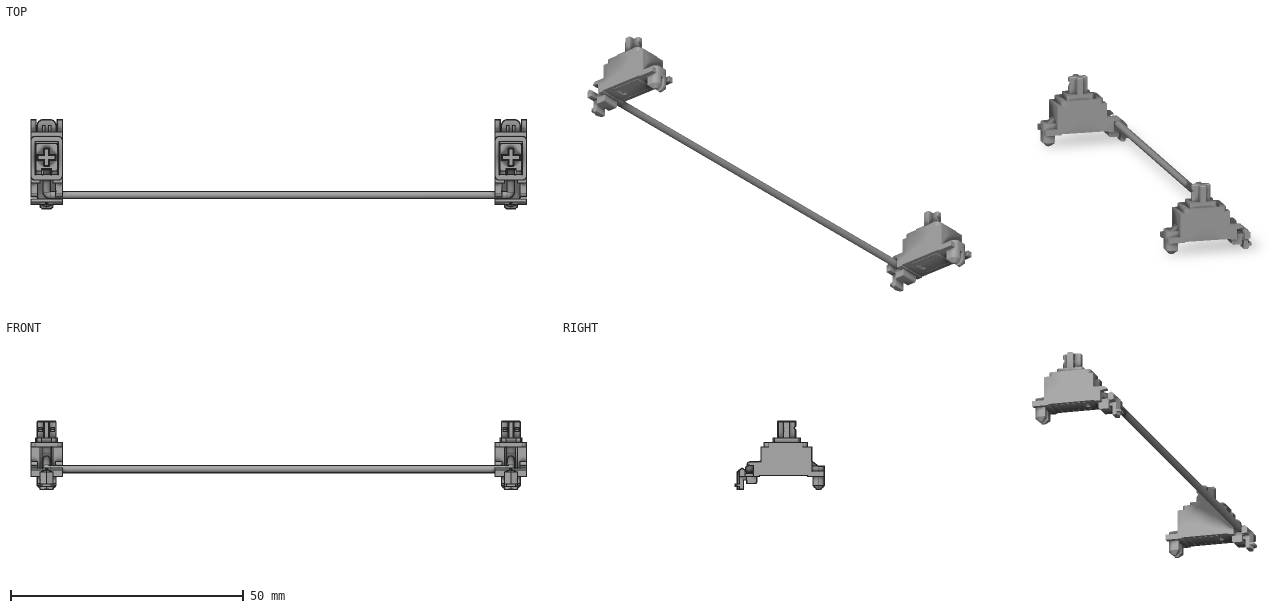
import cadquery as cq
import math

overall_length = 106.8
overall_height = 14.9
housing_width = 6.8
half_width = housing_width / 2
unit_x = (overall_length - housing_width) / 2

block_front = -4.1
block_back = 6.9
housing_bottom = -4.6
shoulder_top = 1.8
tier_front = -3.4
tier_back = 6.0
tier_top = 2.8
tier_corner_radius = 1.0
relief_front = -4.4
relief_back = 6.0
relief_depth = 0.2

well_half_width = 2.5
well_front = -2.2
well_back = 4.8

slot_half_width = 1.4
slot_back = -3.0
window_half_width = 1.0

wire_diameter = 1.6
wire_bore = 1.7
wire_y = -6.6
wire_z = -3.0
wire_slope = math.radians(20)
arm_end_y = -0.5
bend_radius = 0.9

clip_top = -1.4
clip_nose = -7.0
clip_nose_radius = 0.7
clip_gap_half_width = 1.9
clip_lip_z = -2.2
clip_base_front = -5.7
floor_top = -3.8

bar_back = -7.5
bar_front = -8.7
bar_back_top = -3.2
bar_ridge_y = -8.1
bar_ridge_z = -2.8
bar_front_top = -3.2

latch_half_width = 1.4
latch_back = -7.8
latch_side_y = -8.7
latch_ridge_y = -9.2
latch_top = -3.0
latch_top_chamfer = 0.6
latch_bottom = -7.4
hook_tip_half_width = 1.0
hook_tip = -9.6
hook_bottom = -6.7
hook_top = -6.2

foot_half_width = 2.0
foot_back = -4.9
foot_front = -7.2
foot_bottom = -6.1
foot_radius = 0.4
web_bottom = -5.3

rear_end = 9.6
wing_inner_x = 2.2
wing_top = -3.4
peg_half_width = 2.0
peg_front = 7.2
peg_top = -2.4
peg_bottom = -overall_height / 2
peg_corner_radius = 1.3
peg_taper = 0.9
peg_slit = 0.9
gusset_top = -1.3
gusset_back = 8.3
gusset_thickness = 0.5
gusset_x = 0.6

stem_bottom = housing_bottom + relief_depth
stem_top = overall_height / 2
stem_y = 1.5
stem_half_width = 2.4
stem_half_depth = 3.0
stem_corner = 0.3
stem_base_top = 3.7
stem_ledge_top = 1.8
groove_half_width = 1.1
groove_back = -1.0
groove_step_y = -1.3
groove_step_z = 0.4
cross_length = 4.1
cross_arm_along_x = 1.3
cross_arm_along_y = 1.3
cross_end_chamfer = 0.2
cross_top_chamfer = 0.2
notch_z = 5.9
notch_half_height = 0.5
notch_depth = 0.4
dimple_z = 5.6
dimple_half_height = 0.4
dimple_depth = 0.3
dimple_width = 0.9
dimple_x = 1.3


def centred_block(half_x, y0, y1, z0, z1):
    """Box that is symmetric about the plane X = 0."""
    return cq.Workplane("XY").box(2 * half_x, y1 - y0, z1 - z0, centered=False).translate((-half_x, y0, z0))


def side_profile(points, half_x):
    """Prism symmetric about X = 0, from a closed outline of (y, z) points."""
    return cq.Workplane("YZ").polyline(points).close().extrude(half_x, both=True)


def plan_profile(half_points, z0, z1):
    """Upright prism symmetric about X = 0, from the (x, y) points of its +X half."""
    mirrored = [(-x, y) for x, y in reversed(half_points) if x > 0]
    return cq.Workplane("XY").workplane(offset=z0).polyline(half_points + mirrored).close().extrude(z1 - z0)


def make_housing():
    body = centred_block(half_width, block_front, block_back, housing_bottom, shoulder_top)
    tier = centred_block(half_width, tier_front, tier_back, shoulder_top, tier_top)
    tier = tier.edges("|Z").fillet(tier_corner_radius)
    body = body.union(tier).union(make_wire_clip()).union(make_front_latch()).union(make_rear_peg())

    well = centred_block(well_half_width, well_front, well_back, housing_bottom, tier_top)
    slot = centred_block(slot_half_width, block_front, slot_back, floor_top, shoulder_top)
    window = centred_block(window_half_width, slot_back, well_front, floor_top, shoulder_top)
    relief = centred_block(
        half_width, relief_front, relief_back, housing_bottom, housing_bottom + relief_depth
    )
    return body.cut(well).cut(slot).cut(window).cut(relief)


def make_wire_clip():
    jaw = centred_block(half_width, clip_nose, block_front, clip_lip_z, clip_top)
    jaw = jaw.faces("<Y").edges(">Z").fillet(clip_nose_radius)
    base = centred_block(half_width, clip_base_front, block_front, housing_bottom, clip_lip_z)
    bore = cq.Workplane("YZ").center(wire_y, wire_z).circle(wire_bore / 2).extrude(half_width, both=True)
    gap = centred_block(clip_gap_half_width, clip_nose, block_front, floor_top, clip_top)
    floor = centred_block(clip_gap_half_width, bar_back, block_front, housing_bottom, floor_top)
    foot = centred_block(foot_half_width, foot_front, foot_back, foot_bottom, housing_bottom)
    foot = foot.faces(">Y").edges("<Z").fillet(foot_radius)
    return jaw.union(base).cut(bore).cut(gap).union(floor).union(foot)


def make_front_latch():
    bar = side_profile(
        [
            (bar_back, housing_bottom), (bar_back, bar_back_top), (bar_ridge_y, bar_ridge_z),
            (bar_front, bar_front_top), (bar_front, housing_bottom),
        ],
        half_width,
    )
    column = plan_profile(
        [(0, latch_ridge_y), (latch_half_width, latch_side_y), (latch_half_width, latch_back)],
        latch_bottom, latch_top,
    )
    column = column.faces(">Z").edges("<Y").chamfer(latch_top_chamfer)
    hook = plan_profile(
        [(hook_tip_half_width, hook_tip), (latch_half_width, latch_ridge_y), (latch_half_width, latch_back)],
        hook_bottom, hook_top,
    )
    web = centred_block(latch_half_width, latch_back, foot_front, web_bottom, housing_bottom)
    return bar.union(column).union(hook).union(web)


def make_rear_peg():
    wings = centred_block(half_width, block_back, rear_end, housing_bottom, wing_top)
    wings = wings.cut(centred_block(wing_inner_x, block_back, rear_end, housing_bottom, wing_top))

    peg = centred_block(peg_half_width, peg_front, rear_end, peg_bottom, peg_top)
    peg = peg.edges("|Z and >Y").fillet(peg_corner_radius)
    peg = peg.faces("<Z").chamfer(peg_taper)
    peg = peg.cut(centred_block(peg_slit / 2, peg_front, rear_end, peg_bottom, housing_bottom))
    neck = centred_block(peg_half_width, block_back, peg_front, housing_bottom, peg_top)

    part = wings.union(peg).union(neck)
    gusset = side_profile(
        [(block_back, peg_top), (gusset_back, peg_top), (block_back, gusset_top)], gusset_thickness / 2
    )
    for x in (-gusset_x, gusset_x):
        part = part.union(gusset.translate((x, 0, 0)))
    return part


def make_stem():
    base_front = stem_y - stem_half_depth
    base_back = stem_y + stem_half_depth
    base = centred_block(stem_half_width, base_front, base_back, stem_ledge_top, stem_base_top)
    base = base.edges("|Z").chamfer(stem_corner)
    lower = centred_block(stem_half_width, well_front, base_back, stem_bottom, stem_ledge_top)
    groove = side_profile(
        [
            (well_front, stem_base_top), (groove_back, stem_base_top), (groove_back, stem_ledge_top),
            (groove_step_y, groove_step_z), (groove_step_y, stem_bottom), (well_front, stem_bottom),
        ],
        groove_half_width,
    )
    arm_hole = cq.Workplane(arm_plane()).circle(wire_bore / 2).extrude(arm_length())
    return base.union(lower).cut(groove).cut(arm_hole).union(make_cross())


def make_cross():
    half = cross_length / 2
    cross_front = stem_y - half
    cross_back = stem_y + half
    face_front = stem_y - cross_arm_along_x / 2
    face_back = stem_y + cross_arm_along_x / 2
    along_x = centred_block(half, face_front, face_back, stem_base_top, stem_top)
    along_y = centred_block(cross_arm_along_y / 2, cross_front, cross_back, stem_base_top, stem_top)
    along_y = along_y.edges("|Z").chamfer(cross_end_chamfer)
    cross = along_x.union(along_y).faces(">Z").chamfer(cross_top_chamfer)

    notch = side_profile(
        [
            (cross_back, notch_z - notch_half_height),
            (cross_back - notch_depth, notch_z),
            (cross_back, notch_z + notch_half_height),
        ],
        cross_arm_along_y,
    )
    cross = cross.cut(notch)
    dimple = side_profile(
        [
            (face_front, dimple_z - dimple_half_height),
            (face_front + dimple_depth, dimple_z),
            (face_front, dimple_z + dimple_half_height),
        ],
        dimple_width / 2,
    )
    for x in (-dimple_x, dimple_x):
        cross = cross.cut(dimple.translate((x, 0, 0)))
    return cross


def arm_length():
    """Length of a wire arm, from the axis of the long run to the arm's end."""
    return (arm_end_y - wire_y) / math.cos(wire_slope)


def arm_plane():
    """Plane across a wire arm, at the axis of the long run; its normal points along the arm."""
    return cq.Plane(
        origin=(0, wire_y, wire_z), xDir=(1, 0, 0), normal=(0, math.cos(wire_slope), math.sin(wire_slope))
    )


def make_wire():
    bend_plane = cq.Plane(
        origin=(0, wire_y, wire_z), xDir=(1, 0, 0), normal=(0, -math.sin(wire_slope), math.cos(wire_slope))
    )
    mid_bend = bend_radius * (1 - math.sqrt(0.5))
    path = (
        cq.Workplane(bend_plane)
        .moveTo(-unit_x, arm_length())
        .lineTo(-unit_x, bend_radius)
        .threePointArc((-unit_x + mid_bend, mid_bend), (-unit_x + bend_radius, 0))
        .lineTo(unit_x - bend_radius, 0)
        .threePointArc((unit_x - mid_bend, mid_bend), (unit_x, bend_radius))
        .lineTo(unit_x, arm_length())
    )
    arm_end = cq.Workplane(arm_plane()).workplane(offset=arm_length()).center(-unit_x, 0)
    return arm_end.circle(wire_diameter / 2).sweep(path)


housing = make_housing()
stem = make_stem()
wire = make_wire()

unit_solids = []
for x in (-unit_x, unit_x):
    unit_solids.append(housing.translate((x, 0, 0)).val())
    unit_solids.append(stem.translate((x, 0, 0)).val())

result = cq.Compound.makeCompound([wire.val(), *unit_solids])